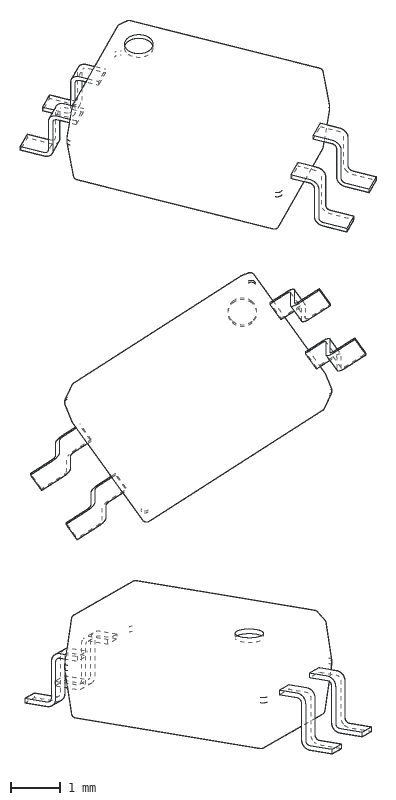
import cadquery as cq

OVERALL_LENGTH = 7.0
OVERALL_HEIGHT = 2.2

HOUSING_LENGTH = 4.6
HOUSING_WIDTH = 2.9
STANDOFF = 0.02
DRAFT_ANGLE = 6.0
BEVEL_DROP = 0.21
BEVEL_SETBACK = 0.195
EDGE_RADIUS = 0.1

MARK_DIAMETER = 0.575
MARK_DEPTH = 0.1
MARK_X = -1.53
MARK_Y = 0.685

LEAD_THICKNESS = 0.1
LEAD_WIDTH = 0.4
LEAD_PITCH = 1.27
LEAD_TOP = 1.16
SHANK_OUTER_X = 2.9
BEND_INNER_RADIUS = LEAD_THICKNESS

BAND_MARGIN = 0.01
BAND_TOP = LEAD_TOP + BAND_MARGIN
BAND_BOTTOM = LEAD_TOP - LEAD_THICKNESS - BAND_MARGIN


def make_drafted_block(height):
    """Block on Z = 0 with all four walls leaning inwards as they rise."""
    return (
        cq.Workplane("XY")
        .rect(HOUSING_LENGTH, HOUSING_WIDTH)
        .extrude(height, taper=DRAFT_ANGLE)
    )


def round_edges(block):
    """Round every edge of a drafted block except those of its base."""
    return block.edges("not <Z").fillet(EDGE_RADIUS)


def make_upper_half():
    block = make_drafted_block(OVERALL_HEIGHT - BAND_TOP)
    block = block.faces(">Z").edges("<X").chamfer(BEVEL_DROP, BEVEL_SETBACK)
    return round_edges(block).translate((0, 0, BAND_TOP))


def make_lower_half():
    block = make_drafted_block(BAND_BOTTOM - STANDOFF)
    return round_edges(block).mirror("XY").translate((0, 0, BAND_BOTTOM))


def make_band():
    return (
        cq.Workplane("XY")
        .workplane(offset=BAND_BOTTOM)
        .rect(HOUSING_LENGTH, HOUSING_WIDTH)
        .extrude(BAND_TOP - BAND_BOTTOM)
        .edges("|Z")
        .fillet(EDGE_RADIUS)
    )


def make_pin_1_mark():
    return (
        cq.Workplane("XY")
        .workplane(offset=OVERALL_HEIGHT - MARK_DEPTH)
        .center(MARK_X, MARK_Y)
        .circle(MARK_DIAMETER / 2)
        .extrude(MARK_DEPTH)
    )


def make_housing():
    shell = make_band().union(make_upper_half()).union(make_lower_half())
    return shell.cut(make_pin_1_mark())


def make_lead(side, y):
    """One lead; side is -1 or +1 for the end of the housing it leaves from."""
    inner_x = HOUSING_LENGTH / 2
    shank_x = SHANK_OUTER_X - LEAD_THICKNESS / 2
    top_z = LEAD_TOP - LEAD_THICKNESS / 2
    foot_z = LEAD_THICKNESS / 2
    bend = BEND_INNER_RADIUS + LEAD_THICKNESS / 2
    centreline = (
        cq.Workplane("XZ")
        .moveTo(inner_x, top_z)
        .lineTo(shank_x - bend, top_z)
        .tangentArcPoint((shank_x, top_z - bend), relative=False)
        .lineTo(shank_x, foot_z + bend)
        .tangentArcPoint((shank_x + bend, foot_z), relative=False)
        .lineTo(OVERALL_LENGTH / 2, foot_z)
    )
    lead = (
        cq.Workplane("YZ", origin=(inner_x, 0, top_z))
        .rect(LEAD_WIDTH, LEAD_THICKNESS)
        .sweep(centreline)
    )
    if side < 0:
        lead = lead.mirror("YZ")
    return lead.translate((0, y, 0))


housing = make_housing()
leads = [
    make_lead(side, y)
    for side in (-1, 1)
    for y in (-LEAD_PITCH / 2, LEAD_PITCH / 2)
]

result = cq.Compound.makeCompound([housing.val(), *[lead.val() for lead in leads]])